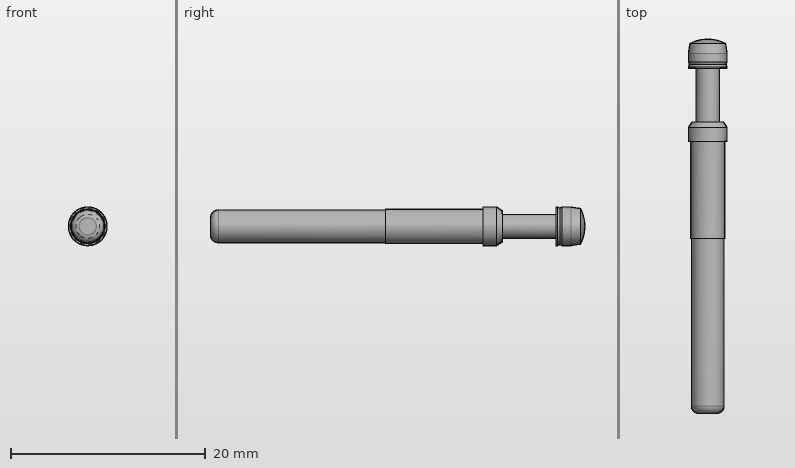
import cadquery as cq

length = 38.5

barrel_radius = 1.7
tip_fillet = 0.8
sleeve_radius = 1.77
sleeve_length = 10.0
sleeve_start = 17.98

collar_radius = 2.0
collar_length = 2.0
collar_chamfer_length = 0.58
collar_chamfer_depth = 0.4

shaft_radius = 1.25

head_radius = collar_radius
head_length = 3.0
rim_thickness = 0.15
groove_radius = 1.9
groove_length = 0.5
band_length = 0.9
dome_radius = 1.85
dome_height = 0.45

sleeve_end = sleeve_start + sleeve_length
collar_end = sleeve_end + collar_length
head_start = length - head_length
rim_end = head_start + rim_thickness
groove_end = rim_end + groove_length
groove_middle = (rim_end + groove_end) / 2
band_end = groove_end + band_length
dome_start = length - dome_height


def make_barrel():
    """Plain cylinder with a rounded tip, reaching up to the collar."""
    barrel = cq.Workplane("XZ").circle(barrel_radius).extrude(-sleeve_end)
    return barrel.faces("<Y").edges().fillet(tip_fillet)


def make_sleeve_and_collar():
    """Slightly thicker sleeve ending in a collar with a chamfered shoulder."""
    profile = (
        cq.Workplane("XY")
        .moveTo(0, sleeve_start)
        .lineTo(sleeve_radius, sleeve_start)
        .lineTo(sleeve_radius, sleeve_end)
        .lineTo(collar_radius, sleeve_end)
        .lineTo(collar_radius, collar_end - collar_chamfer_length)
        .lineTo(collar_radius - collar_chamfer_depth, collar_end)
        .lineTo(0, collar_end)
        .close()
    )
    return profile.revolve(360, (0, 0, 0), (0, 1, 0))


def make_shaft():
    """Thin plunger shaft joining the collar to the head."""
    shaft_length = head_start - collar_end
    return cq.Workplane("XZ", origin=(0, collar_end, 0)).circle(shaft_radius).extrude(-shaft_length)


def make_head():
    """Head with a thin rim, a V groove, a straight band, a taper and a dome."""
    sphere_radius = (dome_radius**2 + dome_height**2) / (2 * dome_height)
    sphere_centre = length - sphere_radius
    half_radius = dome_radius / 2
    half_height = sphere_centre + (sphere_radius**2 - half_radius**2) ** 0.5
    profile = (
        cq.Workplane("XY")
        .moveTo(0, head_start)
        .lineTo(head_radius, head_start)
        .lineTo(head_radius, rim_end)
        .lineTo(groove_radius, groove_middle)
        .lineTo(head_radius, groove_end)
        .lineTo(head_radius, band_end)
        .lineTo(dome_radius, dome_start)
        .threePointArc((half_radius, half_height), (0, length))
        .close()
    )
    return profile.revolve(360, (0, 0, 0), (0, 1, 0))


result = make_barrel().union(make_sleeve_and_collar()).union(make_shaft()).union(make_head())